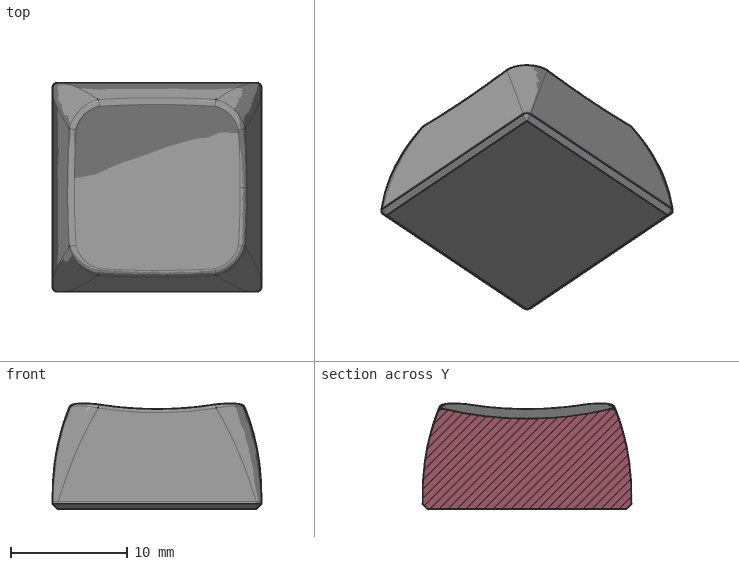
import cadquery as cq
import math

base_width = 18.0

foot_chamfer = 0.47
band_height = 0.2
foot_corner_radius = 0.49
foot_height = foot_chamfer + band_height

skirt_height = 9.0
skirt_top_inset = 1.85
skirt_curve_power = 2.25
skirt_sections = 6
corner_growth = 2.16
corner_bulge = 0.3
top_corner_flattening = 0.18
flattening_power = 3

dish_radius = 30.96
dish_bottom = 7.8
rim_fillet = 0.5


def quarter_turns(point, turns):
    """Rotate a point about the origin by a number of quarter turns."""
    x, y = point
    for _ in range(turns):
        x, y = -y, x
    return x, y


def rounded_square(height, half_width, corner_radius, flattening=0):
    """Closed outline of a square with arc corners, each pulled in by the flattening at its middle."""
    flat_half = half_width - corner_radius
    arc_start = (half_width, flat_half)
    arc_end = (flat_half, half_width)
    arc_reach = flat_half + (corner_radius - flattening) * math.sqrt(0.5)
    arc_middle = (arc_reach, arc_reach)

    outline = cq.Workplane("XY", origin=(0, 0, height)).moveTo(half_width, -flat_half)
    for turns in range(4):
        outline = outline.lineTo(*quarter_turns(arc_start, turns))
        outline = outline.threePointArc(quarter_turns(arc_middle, turns), quarter_turns(arc_end, turns))
    return outline.close()


def skirt_half_width(height):
    """Half width of the skirt at a height above the foot."""
    return base_width / 2 - skirt_top_inset * (height / skirt_height) ** skirt_curve_power


def skirt_corner_radius(height):
    """Corner radius of the skirt at a height above the foot."""
    share = height / skirt_height
    return foot_corner_radius + corner_growth * share * (1 + corner_bulge * (1 - share))


def skirt_outline(height):
    """Outline of the skirt at a height above the foot."""
    flattening = top_corner_flattening * (height / skirt_height) ** flattening_power
    return rounded_square(
        foot_height + height, skirt_half_width(height), skirt_corner_radius(height), flattening
    )


def make_foot():
    """Upright band whose lower edge is chamfered."""
    foot = rounded_square(0, base_width / 2, foot_corner_radius).extrude(foot_height)
    return foot.faces("<Z").chamfer(foot_chamfer)


def make_skirt():
    """Loft through rounded squares that shrink upwards while their corners grow."""
    step = skirt_height / (skirt_sections - 1)
    wires = [skirt_outline(index * step).val() for index in range(skirt_sections)]
    return cq.Workplane(cq.Solid.makeLoft(wires))


def make_dish():
    """Ball that hollows the top."""
    return cq.Workplane("XY", origin=(0, 0, dish_bottom + dish_radius)).sphere(dish_radius)


def make_keycap():
    """Foot and skirt hollowed by the dish, with the rim rounded."""
    body = make_foot().union(make_skirt()).cut(make_dish())
    dish_face = body.faces(cq.selectors.TypeSelector("SPHERE"))
    return dish_face.edges().fillet(rim_fillet)


keycap = make_keycap()
result = cq.Compound.makeCompound([keycap.val()])